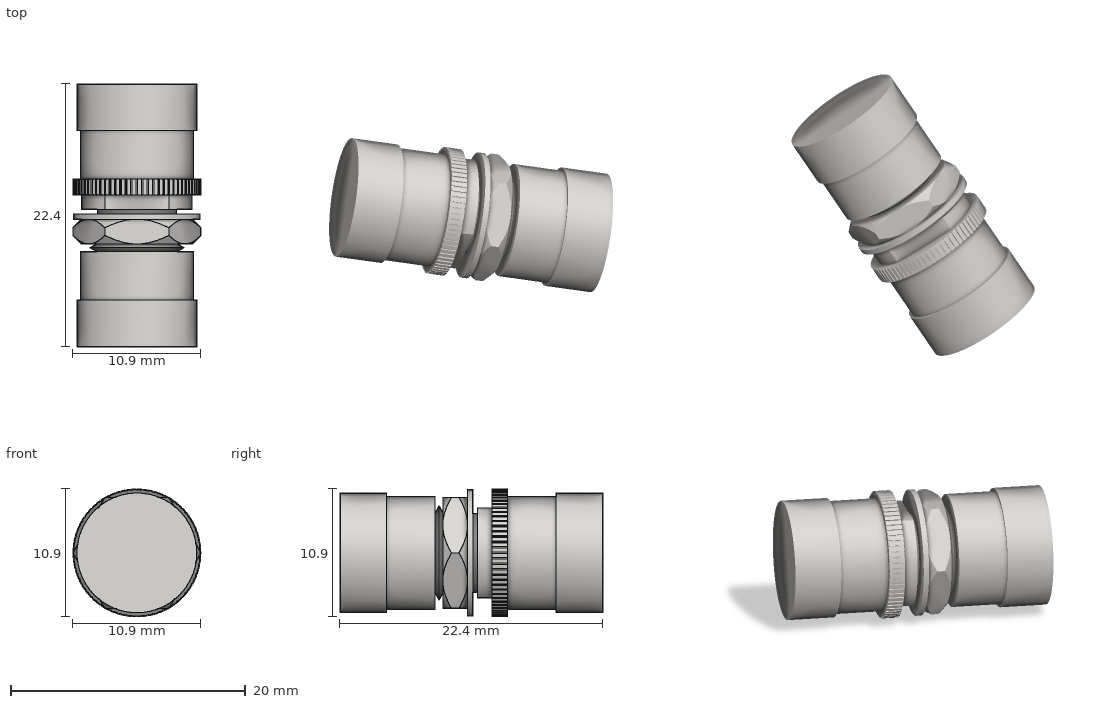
import cadquery as cq
import math


cap_length = 8.11
cap_head_length = 3.97
cap_head_diameter = 10.2
cap_sleeve_diameter = 9.65

shank_diameter = 6.75
thread_diameter = 8.0
thread_flank_angle = 60.0
ridge_width = 0.66
neck_length = 0.39
collar_length = 1.23
collar_diameter = 9.4
collar_across_flats = 7.65
knurl_length = 1.34
knurl_diameter = 10.88
knurl_count = 72
groove_width = 0.13
groove_depth = 0.13

nut_thickness = 2.08
nut_across_flats = 9.45
nut_across_corners = nut_across_flats / math.cos(math.pi / 6)
nut_chamfer = 0.715
washer_thickness = 0.46
washer_diameter = 10.78

body_length = (
    ridge_width + nut_thickness + washer_thickness + neck_length + collar_length + knurl_length
)
body_start = -body_length / 2
nut_start = body_start + ridge_width
washer_start = nut_start + nut_thickness
neck_start = washer_start + washer_thickness
collar_start = neck_start + neck_length
knurl_start = collar_start + collar_length
body_end = body_length / 2


def at_station(y):
    """Workplane across the axis at y, with its normal along +Y and local x along +X."""
    return cq.Workplane(cq.Plane(origin=(0, y, 0), xDir=(1, 0, 0), normal=(0, 1, 0)))


def disc(y, length, diameter):
    return at_station(y).circle(diameter / 2).extrude(length)


def make_cap(joint, outward):
    """Stepped cap whose sleeve meets the body at joint; outward is +1 or -1 along Y."""
    sleeve_length = cap_length - cap_head_length
    sleeve = disc(joint, outward * sleeve_length, cap_sleeve_diameter)
    head = disc(joint + outward * sleeve_length, outward * cap_head_length, cap_head_diameter)
    return sleeve.union(head)


def make_thread_ridge():
    """V-shaped thread crest left showing between the nut and the front cap."""
    crest_radius = thread_diameter / 2
    crest_height = ridge_width / 2 * math.tan(math.radians(thread_flank_angle))
    root_radius = crest_radius - crest_height
    return (
        cq.Workplane("XY")
        .moveTo(0, body_start)
        .lineTo(root_radius, body_start)
        .lineTo(crest_radius, body_start + ridge_width / 2)
        .lineTo(root_radius, nut_start)
        .lineTo(0, nut_start)
        .close()
        .revolve(360, (0, 0, 0), (0, 1, 0))
    )


def make_collar():
    """Round collar with one wrench flat on top and one underneath."""
    flats = at_station(collar_start).rect(collar_diameter, collar_across_flats).extrude(collar_length)
    return disc(collar_start, collar_length, collar_diameter).intersect(flats)


def make_knurl():
    """Flange with straight grooves around its rim."""
    grooves = (
        at_station(knurl_start)
        .polarArray(knurl_diameter / 2, 0, 360, knurl_count)
        .rect(2 * groove_depth, groove_width)
        .extrude(knurl_length)
    )
    return disc(knurl_start, knurl_length, knurl_diameter).cut(grooves)


def make_body():
    shank = disc(nut_start, collar_start - nut_start, shank_diameter)
    return make_thread_ridge().union(shank).union(make_collar()).union(make_knurl())


def make_nut():
    """Hexagon nut with flats facing +Z and -Z, its corners chamfered round at both ends."""
    hexagon = at_station(nut_start).polygon(6, nut_across_corners).extrude(nut_thickness)
    round_blank = disc(nut_start, nut_thickness, nut_across_corners)
    turned_blank = round_blank.faces("<Y or >Y").chamfer(nut_chamfer)
    bore = disc(nut_start, nut_thickness, shank_diameter)
    return hexagon.intersect(turned_blank).cut(bore)


def make_washer():
    bore = disc(washer_start, washer_thickness, shank_diameter)
    return disc(washer_start, washer_thickness, washer_diameter).cut(bore)


body = make_body()
nut = make_nut()
washer = make_washer()
caps = [
    make_cap(joint, outward)
    for joint, outward in ((body_start, -1), (body_end, 1))
]

result = cq.Compound.makeCompound([body.val(), nut.val(), washer.val(), *[cap.val() for cap in caps]])